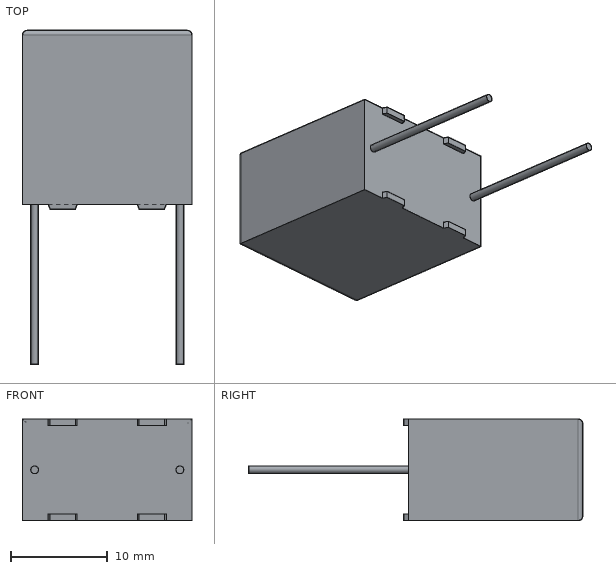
import cadquery as cq


width = 17.5
height = 10.51
overall_length = 34.5
lead_length = 16.5
housing_length = overall_length - lead_length
edge_radius = 0.5

foot_root_width = 3.0
foot_taper = 0.2
foot_tip_width = foot_root_width - 2 * foot_taper
foot_length = 0.5
foot_thickness = 0.7
foot_spacing = 9.2

lead_diameter = 0.8
lead_spacing = 15.0


def make_foot(x, z):
    """Tapered foot standing on the underside, centred on x and z."""
    return (
        cq.Workplane("XY", origin=(x, 0, z - foot_thickness / 2))
        .polyline([
            (-foot_root_width / 2, 0),
            (-foot_tip_width / 2, -foot_length),
            (foot_tip_width / 2, -foot_length),
            (foot_root_width / 2, 0),
        ])
        .close()
        .extrude(foot_thickness)
    )


def make_housing():
    """Box with rounded edges around its +Y face and four feet on its underside."""
    block = cq.Workplane("XY").box(width, housing_length, height, centered=(True, False, True))
    block = block.faces(">Y").edges().fillet(edge_radius)
    foot_z = (height - foot_thickness) / 2
    for x_side in (-1, 1):
        for z_side in (-1, 1):
            block = block.union(make_foot(x_side * foot_spacing / 2, z_side * foot_z))
    return block


def make_lead(x):
    """Straight round lead that starts on the underside and runs toward -Y."""
    return (
        cq.Workplane("XZ", origin=(x, 0, 0))
        .circle(lead_diameter / 2)
        .extrude(lead_length)
    )


housing = make_housing()
leads = [make_lead(side * lead_spacing / 2) for side in (-1, 1)]

result = cq.Compound.makeCompound([housing.val(), *[lead.val() for lead in leads]])